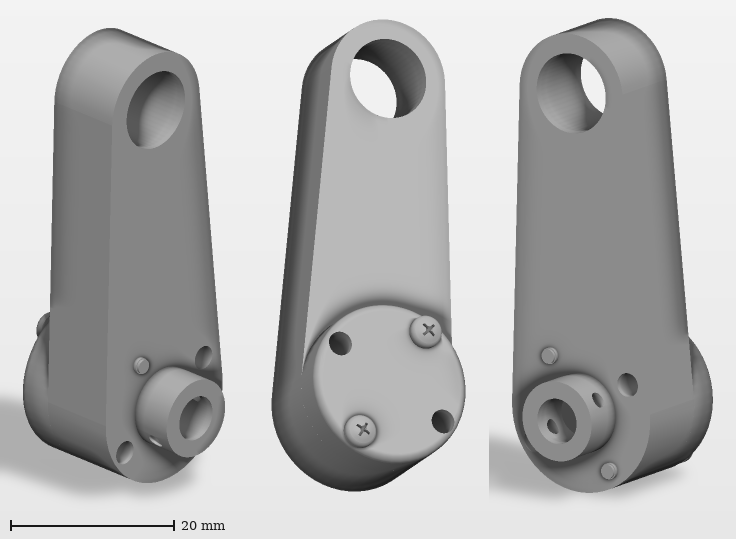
import cadquery as cq
import math

cap_radius = 10.0
cap_thickness = 5.0
cap_edge_round = 1.0

arm_thickness = 10.15
eye_radius = 7.45
eye_bore_diameter = 10.0
eye_y = -1.45
eye_z = 57.45 - cap_radius - eye_radius

hub_diameter = 10.0
hub_length = 5.6
hub_bore_diameter = 5.7
cross_hole_diameter = 2.0

hole_circle_radius = 8.0
pattern_angle = 32.6
open_hole_diameter = 3.0
open_hole_angles = [pattern_angle, pattern_angle + 180]
screw_angles = [pattern_angle + 90, pattern_angle + 270]

head_radius = 2.0
head_height = 1.6
head_rim_height = 0.6
dome_radius = 1.65
dome_height = 0.45
shank_diameter = 2.0
tip_diameter = 1.8
shank_protrusion = 0.5
tip_length = 0.35
recess_span = 1.95
recess_slot_width = 0.35
recess_depth = 0.75
recess_center_radius = 0.45
recess_turns = [45, 59]


def rod(diameter, x_start, x_end, y=0, z=0):
    """Cylinder parallel to X between two X positions."""
    return (
        cq.Workplane("YZ", origin=(x_start, y, z))
        .circle(diameter / 2)
        .extrude(x_end - x_start)
    )


def on_hole_circle(angle):
    """Y and Z of a point on the hole circle."""
    turn = math.radians(angle)
    return hole_circle_radius * math.cos(turn), hole_circle_radius * math.sin(turn)


def cut_hole_pattern(body):
    """Cut the open holes and the screw holes through a body."""
    for angles, diameter in ((open_hole_angles, open_hole_diameter), (screw_angles, shank_diameter)):
        for angle in angles:
            y, z = on_hole_circle(angle)
            body = body.cut(rod(diameter, -cap_thickness, arm_thickness, y, z))
    return body


def arm_blank():
    """Plate bounded by the pivot circle, the eye circle and their two outer tangents."""
    center_distance = math.hypot(eye_y, eye_z)
    center_line_angle = math.atan2(eye_z, eye_y)
    tangent_turn = math.acos((cap_radius - eye_radius) / center_distance)

    def tangent_points(side):
        angle = center_line_angle + side * tangent_turn
        y, z = math.cos(angle), math.sin(angle)
        pivot_point = (cap_radius * y, cap_radius * z)
        eye_point = (eye_y + eye_radius * y, eye_z + eye_radius * z)
        return pivot_point, eye_point

    front_pivot, front_eye = tangent_points(1)
    back_pivot, back_eye = tangent_points(-1)
    return (
        cq.Workplane("YZ")
        .moveTo(*front_pivot)
        .lineTo(*front_eye)
        .threePointArc((eye_y, eye_z + eye_radius), back_eye)
        .lineTo(*back_pivot)
        .threePointArc((0, -cap_radius), front_pivot)
        .close()
        .extrude(arm_thickness)
    )


def make_arm():
    """Arm with its eye at the top and a bored, cross-drilled hub at the pivot."""
    hub_end = arm_thickness + hub_length
    arm = arm_blank().union(rod(hub_diameter, arm_thickness, hub_end))
    arm = arm.cut(rod(eye_bore_diameter, 0, arm_thickness, eye_y, eye_z))
    arm = arm.cut(rod(hub_bore_diameter, arm_thickness, hub_end))
    cross_hole = (
        cq.Workplane("XZ")
        .circle(cross_hole_diameter / 2)
        .extrude(hub_diameter, both=True)
        .rotate((0, 0, 0), (1, 0, 0), pattern_angle)
        .translate((arm_thickness + hub_length / 2, 0, 0))
    )
    return cut_hole_pattern(arm.cut(cross_hole))


def make_cap():
    """Round cap with a rounded outer edge."""
    cap = rod(2 * cap_radius, -cap_thickness, 0).faces("<X").edges().fillet(cap_edge_round)
    return cut_hole_pattern(cap)


def make_screw(angle, recess_turn):
    """Domed cross-recess screw whose stepped tip stands out behind the arm."""
    seat = -cap_thickness
    top = seat - head_height
    dome_edge = top + dome_height
    rim_edge = seat - head_rim_height
    shank_end = arm_thickness + shank_protrusion
    dome_sphere_radius = (dome_radius**2 + dome_height**2) / (2 * dome_height)
    half_radius = dome_radius / 2
    half_drop = dome_sphere_radius - math.sqrt(dome_sphere_radius**2 - half_radius**2)

    screw = (
        cq.Workplane("XY")
        .moveTo(top, 0)
        .threePointArc((top + half_drop, half_radius), (dome_edge, dome_radius))
        .tangentArcPoint((rim_edge, head_radius), relative=False)
        .lineTo(seat, head_radius)
        .lineTo(seat, shank_diameter / 2)
        .lineTo(shank_end, shank_diameter / 2)
        .lineTo(shank_end, tip_diameter / 2)
        .lineTo(shank_end + tip_length, tip_diameter / 2)
        .lineTo(shank_end + tip_length, 0)
        .close()
        .revolve(360, (0, 0, 0), (1, 0, 0))
    )
    for slot_turn in (recess_turn, recess_turn + 90):
        slot = (
            cq.Workplane("YZ", origin=(top, 0, 0))
            .rect(recess_span, recess_slot_width)
            .extrude(recess_depth)
            .rotate((0, 0, 0), (1, 0, 0), -slot_turn)
        )
        screw = screw.cut(slot)
    recess_center = cq.Solid.makeCone(
        recess_center_radius, 0, recess_depth, cq.Vector(top, 0, 0), cq.Vector(1, 0, 0)
    )
    screw = screw.cut(cq.Workplane(recess_center))
    y, z = on_hole_circle(angle)
    return screw.translate((0, y, z))


arm = make_arm()
cap = make_cap()
screws = [make_screw(angle, turn) for angle, turn in zip(screw_angles, recess_turns)]

result = cq.Compound.makeCompound([arm.val(), cap.val(), *[screw.val() for screw in screws]])